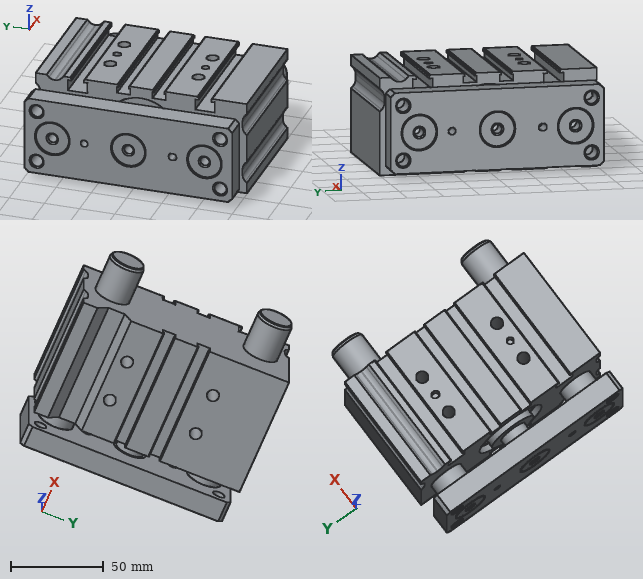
import cadquery as cq
import math

OVERALL_LENGTH = 113.0

PLATE_THICKNESS = 12.0
PLATE_WIDTH = 118.0
PLATE_HEIGHT = 44.4
PLATE_CHAMFER = 2.3
MOUNT_HOLE_DIAMETER = 6.7
MOUNT_HOLE_CHAMFER = 0.7
MOUNT_HOLE_Y = 52.1
MOUNT_HOLE_Z = 15.0

DOWEL_DIAMETER = 4.0
DOWEL_SLOT_LENGTH = 4.5
DOWEL_Y = 25.1
DOWEL_DEPTH = 6.0

PLATE_GAP = 10.0
HOUSING_LENGTH = 69.0
HOUSING_WIDTH = 120.0
HOUSING_HEIGHT = 54.0
HOUSING_FRONT = PLATE_THICKNESS + PLATE_GAP
HOUSING_BACK = HOUSING_FRONT + HOUSING_LENGTH
HALF_WIDTH = HOUSING_WIDTH / 2
HALF_HEIGHT = HOUSING_HEIGHT / 2

NARROW_SLOT_Y = 10.1
NARROW_SLOT_OPENING = 5.8
NARROW_SLOT_LIP = 1.5
NARROW_SLOT_OVERHANG = 0.8
NARROW_SLOT_DEPTH = 5.0
WIDE_SLOT_Y = 36.1
WIDE_SLOT_OPENING = 7.2
WIDE_SLOT_LIP = 1.9
WIDE_SLOT_OVERHANG = 1.9
WIDE_SLOT_DEPTH = 8.0
SLOT_EDGE_CHAMFER = 0.6

GROOVE_DEPTH = 2.5
GROOVE_MOUTH_ANGLE = 45.0
SIDE_GROOVE_FLOOR = 3.4
SIDE_GROOVE_ARC_RADIUS = 5.0
SIDE_GROOVE_Z = 14.4
TOP_GROOVE_FLOOR = 0.5
TOP_GROOVE_ARC_RADIUS = 4.5
TOP_GROOVE_Y = 49.1
TOP_STEP = 0.5

RELIEF_INNER_Y = -32.3
RELIEF_OUTER_Y = -52.0
RELIEF_DEPTH = 6.5
RELIEF_INNER_ANGLE = 60.0
RELIEF_OUTER_ANGLE = 45.0

BOLT_HOLE_DIAMETER = 6.6
BOLT_HOLE_SPACING = 24.0
BOLT_PATTERN_SETBACK = 34.2
BOLT_PATTERN_X = HOUSING_FRONT + BOLT_PATTERN_SETBACK

GUIDE_ROD_DIAMETER = 19.9
GUIDE_ROD_Y = 43.2
TIP_TAPER_LENGTH = 1.5
TIP_TAPER_REDUCTION = 0.6
TIP_CHAMFER = 0.5
PISTON_ROD_DIAMETER = 16.0
PISTON_ROD_END = HOUSING_FRONT + HOUSING_LENGTH / 2
COLLAR_DIAMETER = 28.0
COLLAR_PROJECTION = 2.0
COLLAR_FRONT = HOUSING_FRONT - COLLAR_PROJECTION

RECESS_DIAMETER = 41.8
RECESS_DEPTH = 4.0
RECESS_FLOOR = HOUSING_FRONT + RECESS_DEPTH

FLANGE_DIAMETER = 40.0
FLANGE_THICKNESS = 4.8
FLANGE_BACK = RECESS_FLOOR + FLANGE_THICKNESS

ROD_END_DIAMETER = 18.7
ROD_BORE_CHAMFER = 0.6
TAP_DIAMETER = 5.0
TAP_CHAMFER = 0.8
TAP_DEPTH = 9.6
TAP_POINT_ANGLE = 118.0


def cylinder_x(diameter, x_start, x_end, y=0.0, z=0.0):
    """A cylinder along X."""
    start = cq.Workplane("YZ", origin=(x_start, y, z))
    return start.circle(diameter / 2).extrude(x_end - x_start)


def countersink_x(hole_diameter, chamfer, y, z=0.0):
    """The 45 degree cone that opens a hole's mouth in the plate's front face."""
    radius = hole_diameter / 2
    return cq.Workplane(cq.Solid.makeCone(
        radius + chamfer, radius, chamfer, pnt=cq.Vector(0, y, z), dir=cq.Vector(1, 0, 0)
    ))


def along_housing(profile_points):
    """A straight-sided Y-Z profile extruded over the housing length."""
    front = cq.Workplane("YZ", origin=(HOUSING_FRONT, 0, 0))
    return front.polyline(profile_points).close().extrude(HOUSING_LENGTH)


def make_t_slot(opening, lip, overhang, depth):
    """A T-slot cutter with chamfered mouth edges, open upward with its mouth at Z = 0."""
    half = opening / 2
    mouth = half + SLOT_EDGE_CHAMFER
    right_side = [
        (mouth, 0),
        (half, -SLOT_EDGE_CHAMFER),
        (half, -lip),
        (half + overhang, -lip),
        (half + overhang, -depth),
    ]
    left_side = [(-y, z) for y, z in reversed(right_side)]
    return along_housing(right_side + left_side)


def make_sensor_groove(floor_width, arc_radius):
    """A groove cutter, open upward, with its depth measured from Z = 0.

    Its mouth continues up by TOP_STEP, so that it also cuts the full-height edge beside the step.
    """
    slant = math.radians(GROOVE_MOUTH_ANGLE)
    floor_half = floor_width / 2
    arc_mid_y = floor_half + arc_radius * math.sin(slant / 2)
    arc_mid_z = -GROOVE_DEPTH + arc_radius * (1 - math.cos(slant / 2))
    arc_end_y = floor_half + arc_radius * math.sin(slant)
    arc_end_z = -GROOVE_DEPTH + arc_radius * (1 - math.cos(slant))
    mouth_half = arc_end_y + (TOP_STEP - arc_end_z) / math.tan(slant)
    return (
        cq.Workplane("YZ", origin=(HOUSING_FRONT, 0, 0))
        .moveTo(-floor_half, -GROOVE_DEPTH)
        .lineTo(floor_half, -GROOVE_DEPTH)
        .threePointArc((arc_mid_y, arc_mid_z), (arc_end_y, arc_end_z))
        .lineTo(mouth_half, TOP_STEP)
        .lineTo(-mouth_half, TOP_STEP)
        .lineTo(-arc_end_y, arc_end_z)
        .threePointArc((-arc_mid_y, arc_mid_z), (-floor_half, -GROOVE_DEPTH))
        .close()
        .extrude(HOUSING_LENGTH)
    )


def cut_t_slots(body):
    """Narrow slots in the top and bottom, wide slots in the top only."""
    narrow = make_t_slot(NARROW_SLOT_OPENING, NARROW_SLOT_LIP, NARROW_SLOT_OVERHANG, NARROW_SLOT_DEPTH)
    wide = make_t_slot(WIDE_SLOT_OPENING, WIDE_SLOT_LIP, WIDE_SLOT_OVERHANG, WIDE_SLOT_DEPTH)
    for side in (-1, 1):
        top_narrow = narrow.translate((0, side * NARROW_SLOT_Y, HALF_HEIGHT))
        body = body.cut(top_narrow)
        body = body.cut(top_narrow.mirror("XY"))
        body = body.cut(wide.translate((0, side * WIDE_SLOT_Y, HALF_HEIGHT)))
    return body


def cut_sensor_grooves(body):
    """Two grooves in the -Y side, one in the +Y side and one in the lowered +Y top edge."""
    lowered_top = HALF_HEIGHT - TOP_STEP
    step = cq.Workplane("XY").box(
        HOUSING_LENGTH, HALF_WIDTH - TOP_GROOVE_Y, TOP_STEP, centered=False
    ).translate((HOUSING_FRONT, TOP_GROOVE_Y, lowered_top))
    top_groove = make_sensor_groove(TOP_GROOVE_FLOOR, TOP_GROOVE_ARC_RADIUS)
    body = body.cut(step).cut(top_groove.translate((0, TOP_GROOVE_Y, lowered_top)))

    upward_groove = make_sensor_groove(SIDE_GROOVE_FLOOR, SIDE_GROOVE_ARC_RADIUS)
    for side, z in ((-1, SIDE_GROOVE_Z), (-1, -SIDE_GROOVE_Z), (1, SIDE_GROOVE_Z)):
        side_groove = upward_groove.rotate((0, 0, 0), (1, 0, 0), -90 * side)
        body = body.cut(side_groove.translate((0, side * HALF_WIDTH, z)))
    return body


def make_relief():
    """The cutter for the sloped-sided recess in the housing's underside."""
    floor_z = -HALF_HEIGHT + RELIEF_DEPTH
    inner_run = RELIEF_DEPTH / math.tan(math.radians(RELIEF_INNER_ANGLE))
    outer_run = RELIEF_DEPTH / math.tan(math.radians(RELIEF_OUTER_ANGLE))
    return along_housing([
        (RELIEF_INNER_Y, -HALF_HEIGHT),
        (RELIEF_INNER_Y - inner_run, floor_z),
        (RELIEF_OUTER_Y + outer_run, floor_z),
        (RELIEF_OUTER_Y, -HALF_HEIGHT),
    ])


def cut_vertical_holes(body):
    """Two through bolt holes and a blind dowel hole in each of two rows."""
    top = cq.Workplane("XY", origin=(BOLT_PATTERN_X, 0, HALF_HEIGHT))
    half_spacing = BOLT_HOLE_SPACING / 2
    bolt_centres = [(x, y) for x in (-half_spacing, half_spacing) for y in (-DOWEL_Y, DOWEL_Y)]
    bolts = top.pushPoints(bolt_centres).circle(BOLT_HOLE_DIAMETER / 2).extrude(-HOUSING_HEIGHT)
    round_dowel = top.center(0, -DOWEL_Y).circle(DOWEL_DIAMETER / 2).extrude(-DOWEL_DEPTH)
    dowel_slot = top.center(0, DOWEL_Y).slot2D(DOWEL_SLOT_LENGTH, DOWEL_DIAMETER, 90)
    slotted_dowel = dowel_slot.extrude(-DOWEL_DEPTH)
    return body.cut(bolts).cut(round_dowel).cut(slotted_dowel)


def cut_rod_bores(body):
    """Through bores for the guide rods, a blind bore for the piston rod and its collar's seat."""
    for y in (-GUIDE_ROD_Y, GUIDE_ROD_Y):
        body = body.cut(cylinder_x(GUIDE_ROD_DIAMETER, HOUSING_FRONT, HOUSING_BACK, y))
    body = body.cut(cylinder_x(PISTON_ROD_DIAMETER, HOUSING_FRONT, PISTON_ROD_END))
    body = body.cut(cylinder_x(RECESS_DIAMETER, HOUSING_FRONT, RECESS_FLOOR))
    return body.cut(cylinder_x(FLANGE_DIAMETER, RECESS_FLOOR, FLANGE_BACK))


def make_housing():
    body = cq.Workplane("XY").box(HOUSING_LENGTH, HOUSING_WIDTH, HOUSING_HEIGHT)
    body = body.translate((HOUSING_FRONT + HOUSING_LENGTH / 2, 0, 0))
    body = cut_t_slots(body)
    body = cut_sensor_grooves(body)
    body = body.cut(make_relief())
    body = cut_vertical_holes(body)
    return cut_rod_bores(body)


def make_plate():
    plate = cq.Workplane("XY").box(PLATE_THICKNESS, PLATE_WIDTH, PLATE_HEIGHT)
    plate = plate.edges("|X").chamfer(PLATE_CHAMFER).translate((PLATE_THICKNESS / 2, 0, 0))

    for y in (-GUIDE_ROD_Y, 0, GUIDE_ROD_Y):
        plate = plate.cut(cylinder_x(ROD_END_DIAMETER, 0, PLATE_THICKNESS, y))
        plate = plate.cut(countersink_x(ROD_END_DIAMETER, ROD_BORE_CHAMFER, y))

    for y in (-MOUNT_HOLE_Y, MOUNT_HOLE_Y):
        for z in (-MOUNT_HOLE_Z, MOUNT_HOLE_Z):
            plate = plate.cut(cylinder_x(MOUNT_HOLE_DIAMETER, 0, PLATE_THICKNESS, y, z))
            plate = plate.cut(countersink_x(MOUNT_HOLE_DIAMETER, MOUNT_HOLE_CHAMFER, y, z))

    front = cq.Workplane("YZ")
    round_dowel = front.center(DOWEL_Y, 0).circle(DOWEL_DIAMETER / 2).extrude(PLATE_THICKNESS)
    dowel_slot = front.center(-DOWEL_Y, 0).slot2D(DOWEL_SLOT_LENGTH, DOWEL_DIAMETER)
    slotted_dowel = dowel_slot.extrude(PLATE_THICKNESS)
    return plate.cut(round_dowel).cut(slotted_dowel)


def revolve_about_x(half_profile, y):
    """A solid of revolution, from (x, radius) points, about the X-direction axis at Y = y."""
    profile = cq.Workplane("XY").polyline(half_profile).close()
    return profile.revolve(360, (0, 0, 0), (1, 0, 0)).translate((0, y, 0))


def make_tap_hole(y):
    """The cutter for a chamfered blind hole with a drill-point bottom, in a rod's front end."""
    radius = TAP_DIAMETER / 2
    point_length = radius / math.tan(math.radians(TAP_POINT_ANGLE / 2))
    return revolve_about_x([
        (0, 0),
        (0, radius + TAP_CHAMFER),
        (TAP_CHAMFER, radius),
        (TAP_DEPTH, radius),
        (TAP_DEPTH + point_length, 0),
    ], y)


def make_front_end(y):
    """The tapped end of a rod, which fills its bore in the plate."""
    return cylinder_x(ROD_END_DIAMETER, 0, PLATE_THICKNESS, y).cut(make_tap_hole(y))


def make_guide_rod(y):
    """A rod through the housing; its back tip has a slight taper and then a 45 degree chamfer."""
    radius = GUIDE_ROD_DIAMETER / 2
    tip_radius = radius - TIP_TAPER_REDUCTION
    chamfer_start = OVERALL_LENGTH - TIP_CHAMFER
    shaft = revolve_about_x([
        (PLATE_THICKNESS, 0),
        (PLATE_THICKNESS, radius),
        (chamfer_start - TIP_TAPER_LENGTH, radius),
        (chamfer_start, tip_radius),
        (OVERALL_LENGTH, tip_radius - TIP_CHAMFER),
        (OVERALL_LENGTH, 0),
    ], y)
    return make_front_end(y).union(shaft)


def make_piston_rod():
    shaft = cylinder_x(PISTON_ROD_DIAMETER, PLATE_THICKNESS, PISTON_ROD_END)
    return make_front_end(0).union(shaft)


def make_collar():
    """The ring around the piston rod, with a flange seated in the housing."""
    sleeve = cylinder_x(COLLAR_DIAMETER, COLLAR_FRONT, FLANGE_BACK)
    flange = cylinder_x(FLANGE_DIAMETER, RECESS_FLOOR, FLANGE_BACK)
    bore = cylinder_x(PISTON_ROD_DIAMETER, COLLAR_FRONT, FLANGE_BACK)
    return sleeve.union(flange).cut(bore)


housing = make_housing()
plate = make_plate()
guide_rods = [make_guide_rod(y) for y in (-GUIDE_ROD_Y, GUIDE_ROD_Y)]
piston_rod = make_piston_rod()
collar = make_collar()

result = cq.Compound.makeCompound([
    housing.val(),
    plate.val(),
    *[rod.val() for rod in guide_rods],
    piston_rod.val(),
    collar.val(),
])